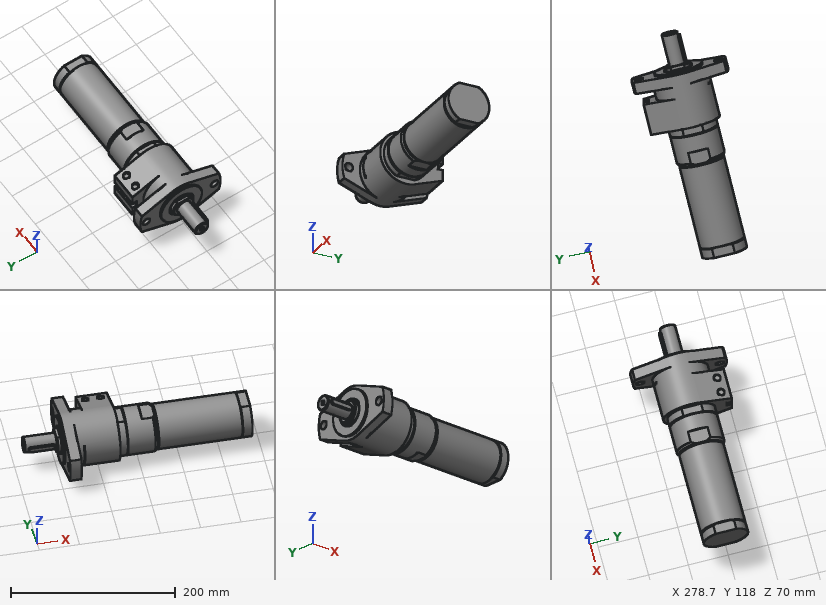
import cadquery as cq
import math

TOTAL_LENGTH = 278.7

SHAFT_DIAMETER = 19.5
SHAFT_CHAMFER = 1.0
CENTRE_HOLE_MOUTH = 5.5
CENTRE_HOLE_DIAMETER = 3.5
CENTRE_HOLE_DEPTH = 7.0
CENTRE_MOUTH_ANGLE = 60
DRILL_TIP_ANGLE = 120

KEY_START = 4.7
KEY_END = 37.5
KEY_WIDTH = 6.5
KEY_TOP = 12.0

COLLAR_START = 39.5
COLLAR_DIAMETER = 29.8
COLLAR_CHAMFER = 0.98
COLLAR_FLAT_HEIGHT = 12.3

PILOT_START = 44.0
PILOT_DIAMETER = 60.0
RECESS_DIAMETER = 35.0
RECESS_DEPTH = 1.7

FLANGE_START = 46.5
FLANGE_END = 60.8
FLANGE_SPAN = 118.0
FLANGE_SLOPE = 20.0
MOUNT_HOLE_DIAMETER = 10.5
MOUNT_HOLE_OFFSET = 50.0

BODY_DIAMETER = 70.0
BODY_END = 113.7
JOINT_SLOT_START = 69.0
JOINT_SLOT_WIDTH = 0.8
JOINT_SLOT_LENGTH = 29.5
JOINT_SLOT_FLOOR = 31.8

BLOCK_START = 75.2
BLOCK_REACH = 51.0
PORT_DIAMETER = 8.5
PORT_OFFSET = 40.0
PORT_POSITIONS = (85.0, 104.0)
PORT_FLOOR_HEIGHT = 20.0
SCREW_SLOT_WIDTH = 8.5
SCREW_SLOT_END = 44.3

RING_DIAMETER = 60.0
RING_FLAT_HEIGHT = 27.3
FRONT_FLAT_END = 123.7
REAR_FLAT_START = 144.6
RING_CHAMFER_LENGTH = 3.3
RING_CHAMFER_DEPTH = 2.0
RING_END = 161.5
RING_GROOVE_WIDTH = 0.8
RING_GROOVE_DEPTH = 1.0

NECK_DIAMETER = 48.5
TUBE_START = 163.0
TUBE_DIAMETER = 56.0
CAP_START = 266.2
CAP_GROOVE_WIDTH = 0.8
CAP_GROOVE_DEPTH = 0.8
CAP_FLAT_HEIGHT = 24.8


def cylinder(start, end, diameter):
    """Cylinder on the motor axis."""
    return cq.Workplane("YZ").workplane(offset=start).circle(diameter / 2).extrude(end - start)


def tube(start, end, outer, inner):
    """Hollow cylinder on the motor axis."""
    return cylinder(start, end, outer).cut(cylinder(start, end, inner))


def box(x_range, y_range, z_range):
    """Block between the given limits along each axis."""
    sizes = [high - low for low, high in (x_range, y_range, z_range)]
    corner = (x_range[0], y_range[0], z_range[0])
    return cq.Workplane("XY").box(*sizes, centered=False).translate(corner)


def cut_flats(body, start, end, height):
    """Cut two flats, above and below the axis, at the given height."""
    reach = BODY_DIAMETER
    for z_range in ((height, reach), (-reach, -height)):
        body = body.cut(box((start, end), (-reach, reach), z_range))
    return body


def tapered_plate(start, end):
    """Plate whose four sloping sides touch the round gear housing tangentially."""
    slope = math.radians(FLANGE_SLOPE)
    radius = BODY_DIAMETER / 2
    tip = radius / math.sin(slope)
    tangent_y = radius * math.sin(slope)
    tangent_z = radius * math.cos(slope)
    outline = [
        (-tip, 0),
        (-tangent_y, tangent_z),
        (tangent_y, tangent_z),
        (tip, 0),
        (tangent_y, -tangent_z),
        (-tangent_y, -tangent_z),
    ]
    return cq.Workplane("YZ").workplane(offset=start).polyline(outline).close().extrude(end - start)


def make_shaft():
    """Chamfered shaft with a round-ended parallel key."""
    shaft = cylinder(0, COLLAR_START, SHAFT_DIAMETER).faces("<X").chamfer(SHAFT_CHAMFER)
    key = (
        cq.Workplane("XZ")
        .center((KEY_START + KEY_END) / 2, 0)
        .slot2D(KEY_END - KEY_START, KEY_WIDTH)
        .extrude(KEY_TOP)
    )
    return shaft.union(key)


def make_centre_hole():
    """Drilled centre hole with a conical mouth and a conical bottom."""
    mouth = CENTRE_HOLE_MOUTH / 2
    radius = CENTRE_HOLE_DIAMETER / 2
    mouth_depth = (mouth - radius) / math.tan(math.radians(CENTRE_MOUTH_ANGLE / 2))
    tip_depth = CENTRE_HOLE_DEPTH + radius / math.tan(math.radians(DRILL_TIP_ANGLE / 2))
    outline = [
        (0, 0),
        (0, mouth),
        (mouth_depth, radius),
        (CENTRE_HOLE_DEPTH, radius),
        (tip_depth, 0),
    ]
    return cq.Workplane("XY").polyline(outline).close().revolve(360, (0, 0, 0), (1, 0, 0))


def make_collar():
    """Collar seated in the pilot recess, flattened only where it stands proud of the pilot."""
    collar = cylinder(COLLAR_START, PILOT_START + RECESS_DEPTH, COLLAR_DIAMETER)
    collar = collar.faces("<X").chamfer(COLLAR_CHAMFER)
    return cut_flats(collar, COLLAR_START, PILOT_START, COLLAR_FLAT_HEIGHT)


def make_pilot():
    """Centring spigot with an annular recess for the collar."""
    pilot = cylinder(PILOT_START, FLANGE_START, PILOT_DIAMETER)
    return pilot.cut(cylinder(PILOT_START, PILOT_START + RECESS_DEPTH, RECESS_DIAMETER))


def make_flange():
    """Tapered flange with ends rounded about the motor axis and two mounting holes."""
    flange = tapered_plate(FLANGE_START, FLANGE_END)
    flange = flange.intersect(cylinder(FLANGE_START, FLANGE_END, FLANGE_SPAN))
    holes = (
        cq.Workplane("YZ")
        .workplane(offset=FLANGE_START)
        .pushPoints([(-MOUNT_HOLE_OFFSET, 0), (MOUNT_HOLE_OFFSET, 0)])
        .circle(MOUNT_HOLE_DIAMETER / 2)
        .extrude(FLANGE_END - FLANGE_START)
    )
    return flange.cut(holes)


def make_gear_housing():
    """Round housing with a narrow flat-bottomed slot on the -Y side."""
    housing = cylinder(FLANGE_START, BODY_END, BODY_DIAMETER)
    half_length = JOINT_SLOT_LENGTH / 2
    joint_slot = box(
        (JOINT_SLOT_START, JOINT_SLOT_START + JOINT_SLOT_WIDTH),
        (-BODY_DIAMETER / 2, -JOINT_SLOT_FLOOR),
        (-half_length, half_length),
    )
    return housing.cut(joint_slot)


def make_connection_block():
    """Block with two blind ports from above and a slot for the flange screw."""
    height = BODY_DIAMETER / 2
    block = tapered_plate(BLOCK_START, BODY_END)
    block = block.intersect(box((BLOCK_START, BODY_END), (0, BLOCK_REACH), (-height, height)))
    ports = (
        cq.Workplane("XY")
        .workplane(offset=PORT_FLOOR_HEIGHT)
        .pushPoints([(x, PORT_OFFSET) for x in PORT_POSITIONS])
        .circle(PORT_DIAMETER / 2)
        .extrude(height - PORT_FLOOR_HEIGHT)
    )
    half_width = SCREW_SLOT_WIDTH / 2
    screw_slot = box((BLOCK_START, BODY_END), (SCREW_SLOT_END, BLOCK_REACH), (-half_width, half_width))
    return block.cut(ports).cut(screw_slot)


def make_clamping_rings():
    """Grooved ring section with spanner flats in front and behind, chamfered at the rear."""
    rings = cylinder(BODY_END, RING_END, RING_DIAMETER)
    rings = rings.faces(">X").chamfer(RING_CHAMFER_LENGTH, RING_CHAMFER_DEPTH)
    rings = cut_flats(rings, BODY_END, FRONT_FLAT_END, RING_FLAT_HEIGHT)
    rings = cut_flats(rings, REAR_FLAT_START, RING_END, RING_FLAT_HEIGHT)
    groove = tube(
        FRONT_FLAT_END,
        FRONT_FLAT_END + RING_GROOVE_WIDTH,
        RING_DIAMETER,
        RING_DIAMETER - 2 * RING_GROOVE_DEPTH,
    )
    return rings.cut(groove)


def make_motor():
    """Motor tube with its end cap, joined to the rings by a narrower neck."""
    motor = cylinder(TUBE_START, TOTAL_LENGTH, TUBE_DIAMETER)
    groove = tube(
        CAP_START,
        CAP_START + CAP_GROOVE_WIDTH,
        TUBE_DIAMETER,
        TUBE_DIAMETER - 2 * CAP_GROOVE_DEPTH,
    )
    motor = cut_flats(motor.cut(groove), CAP_START, TOTAL_LENGTH, CAP_FLAT_HEIGHT)
    return motor.union(cylinder(RING_END, TUBE_START, NECK_DIAMETER))


result = (
    make_shaft()
    .union(make_collar())
    .union(make_pilot())
    .union(make_flange())
    .union(make_gear_housing())
    .union(make_connection_block())
    .union(make_clamping_rings())
    .union(make_motor())
    .cut(make_centre_hole())
)